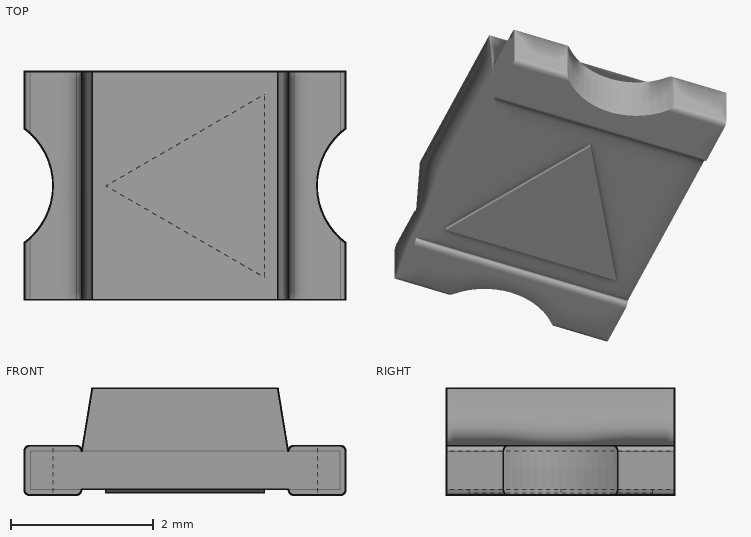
import cadquery as cq
import math

length = 4.5
width = 3.2
height = 1.5

cap_wall = 0.08
cap_length = 0.8
cap_height = 0.695
cap_edge_radius = 0.075

board_thickness = 0.54
board_length = length - 2 * cap_wall
board_bottom = cap_wall
board_top = board_bottom + board_thickness

lens_bottom_length = 2.89
lens_top_length = 2.6

notch_radius = 1.0
notch_depth = 0.4
notch_center_x = length / 2 - notch_depth + notch_radius

mark_length = 2.225
mark_width = 2 * mark_length * math.tan(math.radians(30))
mark_thickness = 0.05


def make_board():
    board = cq.Workplane("XY").box(board_length, width, board_thickness, centered=(True, True, False))
    return board.translate((0, 0, board_bottom))


def make_cap(side):
    """End cap with rounded long edges; side is -1 or +1 along X."""
    cap = cq.Workplane("XY").box(cap_length, width, cap_height, centered=(True, True, False))
    cap = cap.edges("|Y").fillet(cap_edge_radius)
    cap = cap.translate((side * (length - cap_length) / 2, 0, 0))
    return cap.cut(make_board())


def make_lens():
    half_bottom = lens_bottom_length / 2
    half_top = lens_top_length / 2
    profile = [
        (-half_bottom, board_top),
        (half_bottom, board_top),
        (half_top, height),
        (-half_top, height),
    ]
    return cq.Workplane("XZ").polyline(profile).close().extrude(width / 2, both=True)


def make_polarity_mark():
    base_x = mark_length / 2
    outline = [(-base_x, 0), (base_x, -mark_width / 2), (base_x, mark_width / 2)]
    mark = cq.Workplane("XY").polyline(outline).close().extrude(mark_thickness)
    return mark.translate((0, 0, board_bottom - mark_thickness))


def make_notch(side):
    """Cutter for one end; its cylinder seam lies outside the part."""
    cutter = cq.Workplane("XY").center(notch_center_x, 0).circle(notch_radius).extrude(cap_height)
    if side < 0:
        return cutter.mirror("YZ")
    return cutter


part = make_board()
for side in (-1, 1):
    part = part.union(make_cap(side), clean=False)
part = part.union(make_lens(), clean=False)
part = part.union(make_polarity_mark(), clean=False)

for side in (-1, 1):
    part = part.cut(make_notch(side), clean=False)

result = part